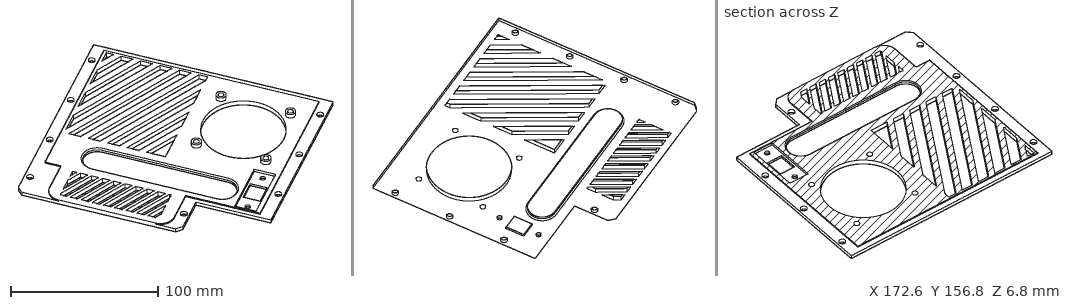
import cadquery as cq
import math

OVERLAP = 1.0

PLATE_WIDTH = 172.55
PLATE_HEIGHT = 156.8
PLATE_THICKNESS = 2.8
TAB_WIDTH = 118.55
TAB_HEIGHT = 30.0
TAB_CHAMFER = 3.9

PANEL_RISE = 1.0
PANEL_SIDE_MARGIN = 8.8
PANEL_TOP_MARGIN = 4.1
PANEL_BOTTOM = 33.0
PANEL_TONGUE_LEFT = 20.35
PANEL_TONGUE_RIGHT = 110.15
PANEL_TONGUE_RADIUS = 10.0
PANEL_TOP_Z = PLATE_THICKNESS + PANEL_RISE

MOUNT_HOLE_DIAMETER = 4.6
MOUNT_EDGE_DISTANCE = 4.05
MOUNT_FIRST_Y = PLATE_HEIGHT - 15.2
MOUNT_PITCH = 42.5
MOUNT_ROWS = 3
TAB_HOLE_Y = 16.5
TAB_HOLE_EDGE_DISTANCE = 3.75

FAN_X = 124.9
FAN_Y = PLATE_HEIGHT - 48.0
FAN_DIAMETER = 58.0
FAN_SCREW_SPACING = 50.0
STANDOFF_DIAMETER = 7.0
STANDOFF_HOLE_DIAMETER = 3.8
STANDOFF_TOP_Z = 6.8

HANDLE_X = PLATE_WIDTH / 2
HANDLE_Y = 48.1
HANDLE_LENGTH = 110.0
HANDLE_HEIGHT = 20.0
HANDLE_CHAMFER = 1.0

SWITCH_X = 152.85
SWITCH_Y = 53.8
SWITCH_RECESS_WIDTH = 15.4
SWITCH_RECESS_HEIGHT = 39.5
SWITCH_RECESS_DEPTH = 2.0
SWITCH_WINDOW_WIDTH = 12.2
SWITCH_WINDOW_HEIGHT = 14.3
SWITCH_SCREW_SPACING = 30.5
SWITCH_SCREW_DIAMETER = 3.6

BAR_ANGLE = 60.0
LARGE_GRILLE = {
    "left": 11.3,
    "top": PLATE_HEIGHT - 5.9,
    "width": 72.8,
    "height": 85.5,
    "first_bar": 5.1,
    "bar_width": 5.6,
    "pitch": 14.0,
    "bar_count": 8,
}
SMALL_GRILLE = {
    "left": 29.7,
    "top": PLATE_HEIGHT - 126.4,
    "width": 71.0,
    "height": 25.0,
    "first_bar": 2.85,
    "bar_width": 2.8,
    "pitch": 8.0,
    "bar_count": 11,
}


def through_cylinders(points, diameter):
    """Cutters that pass through the plate, the panel and the standoffs."""
    length = STANDOFF_TOP_Z + 2 * OVERLAP
    return cq.Workplane("XY", origin=(0, 0, -OVERLAP)).pushPoints(points).circle(diameter / 2).extrude(length)


def make_plate():
    outline = [
        (TAB_CHAMFER, 0),
        (TAB_WIDTH - TAB_CHAMFER, 0),
        (TAB_WIDTH, TAB_CHAMFER),
        (TAB_WIDTH, TAB_HEIGHT),
        (PLATE_WIDTH, TAB_HEIGHT),
        (PLATE_WIDTH, PLATE_HEIGHT),
        (0, PLATE_HEIGHT),
        (0, TAB_CHAMFER),
    ]
    return cq.Workplane("XY").polyline(outline).close().extrude(PLATE_THICKNESS)


def make_panel():
    right = PLATE_WIDTH - PANEL_SIDE_MARGIN
    top = PLATE_HEIGHT - PANEL_TOP_MARGIN
    radius = PANEL_TONGUE_RADIUS
    return (
        cq.Workplane("XY")
        .moveTo(PANEL_SIDE_MARGIN, PANEL_BOTTOM)
        .lineTo(PANEL_TONGUE_LEFT, PANEL_BOTTOM)
        .lineTo(PANEL_TONGUE_LEFT, radius)
        .radiusArc((PANEL_TONGUE_LEFT + radius, 0), -radius)
        .lineTo(PANEL_TONGUE_RIGHT - radius, 0)
        .radiusArc((PANEL_TONGUE_RIGHT, radius), -radius)
        .lineTo(PANEL_TONGUE_RIGHT, PANEL_BOTTOM)
        .lineTo(right, PANEL_BOTTOM)
        .lineTo(right, top)
        .lineTo(PANEL_SIDE_MARGIN, top)
        .close()
        .extrude(PANEL_TOP_Z)
    )


def mount_holes():
    points = [(MOUNT_EDGE_DISTANCE, TAB_HOLE_Y), (TAB_WIDTH - TAB_HOLE_EDGE_DISTANCE, TAB_HOLE_Y)]
    for row in range(MOUNT_ROWS):
        y = MOUNT_FIRST_Y - row * MOUNT_PITCH
        points.append((MOUNT_EDGE_DISTANCE, y))
        points.append((PLATE_WIDTH - MOUNT_EDGE_DISTANCE, y))
    return through_cylinders(points, MOUNT_HOLE_DIAMETER)


def fan_screw_points():
    reach = FAN_SCREW_SPACING / 2
    return [(FAN_X + sx * reach, FAN_Y + sy * reach) for sx in (-1, 1) for sy in (-1, 1)]


def make_standoffs():
    return (
        cq.Workplane("XY")
        .pushPoints(fan_screw_points())
        .circle(STANDOFF_DIAMETER / 2)
        .extrude(STANDOFF_TOP_Z)
    )


def fan_openings():
    opening = through_cylinders([(FAN_X, FAN_Y)], FAN_DIAMETER)
    return opening.union(through_cylinders(fan_screw_points(), STANDOFF_HOLE_DIAMETER))


def handle_slot():
    slot = (
        cq.Workplane("XY", origin=(HANDLE_X, HANDLE_Y, 0))
        .slot2D(HANDLE_LENGTH, HANDLE_HEIGHT)
        .extrude(PANEL_TOP_Z)
    )
    upper_rim = (
        cq.Workplane("XY", origin=(HANDLE_X, HANDLE_Y, PANEL_TOP_Z))
        .slot2D(HANDLE_LENGTH + 2 * HANDLE_CHAMFER, HANDLE_HEIGHT + 2 * HANDLE_CHAMFER)
        .extrude(-HANDLE_CHAMFER, taper=45)
    )
    lower_rim = (
        cq.Workplane("XY", origin=(HANDLE_X, HANDLE_Y, 0))
        .slot2D(HANDLE_LENGTH + 2 * HANDLE_CHAMFER, HANDLE_HEIGHT + 2 * HANDLE_CHAMFER)
        .extrude(HANDLE_CHAMFER, taper=45)
    )
    return slot.union(upper_rim).union(lower_rim)


def switch_cutout():
    floor_z = PANEL_TOP_Z - SWITCH_RECESS_DEPTH
    recess = (
        cq.Workplane("XY", origin=(SWITCH_X, SWITCH_Y, floor_z))
        .rect(SWITCH_RECESS_WIDTH, SWITCH_RECESS_HEIGHT)
        .extrude(SWITCH_RECESS_DEPTH + OVERLAP)
    )
    window = (
        cq.Workplane("XY", origin=(SWITCH_X, SWITCH_Y, -OVERLAP))
        .rect(SWITCH_WINDOW_WIDTH, SWITCH_WINDOW_HEIGHT)
        .extrude(PANEL_TOP_Z + OVERLAP)
    )
    points = [(SWITCH_X, SWITCH_Y + side * SWITCH_SCREW_SPACING / 2) for side in (-1, 1)]
    return recess.union(window).union(through_cylinders(points, SWITCH_SCREW_DIAMETER))


def grille_openings(left, top, width, height, first_bar, bar_width, pitch, bar_count):
    """The open rectangle of a grille, less its slanted bars."""
    depth = PANEL_TOP_Z + 2 * OVERLAP
    openings = (
        cq.Workplane("XY", origin=(left, top, -OVERLAP))
        .rect(width, -height, centered=False)
        .extrude(depth)
    )
    slant = height / math.tan(math.radians(BAR_ANGLE))
    for index in range(bar_count):
        x = first_bar + index * pitch
        bar = (
            cq.Workplane("XY", origin=(left, top, -OVERLAP))
            .polyline([(x, 0), (x + bar_width, 0), (x + bar_width - slant, -height), (x - slant, -height)])
            .close()
            .extrude(depth)
        )
        openings = openings.cut(bar)
    return openings


result = make_plate().union(make_panel()).union(make_standoffs())
result = result.cut(mount_holes()).cut(fan_openings()).cut(handle_slot()).cut(switch_cutout())
for grille in (LARGE_GRILLE, SMALL_GRILLE):
    result = result.cut(grille_openings(**grille))